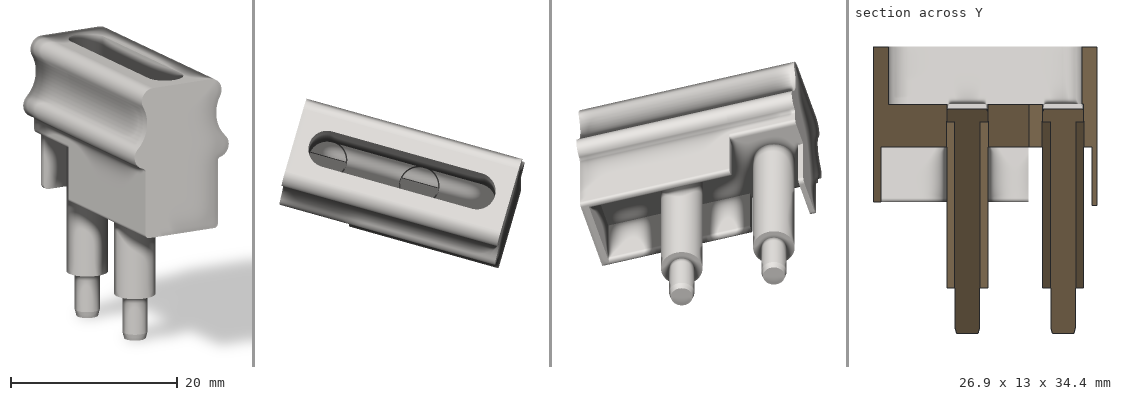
import cadquery as cq
import math


length = 26.85
split_x = 8.22
body_bottom = -12.0
body_half = 5.0
bottom_radius = 0.5

grip_radius = 1.5
top_half = 4.0
bulge_z = -8.4
waist_radius = 4.15
root_radius = 0.48
root_middle_angle = 145

skirt_bottom = -18.6
skirt_wall = 0.95
skirt_radius = 0.45

tab_bottom = -19.05
tab_thickness = 0.65
tab_back = 1.5
tab_front = -4.02
tab_radius = 0.6

slot_width = 4.47
slot_end_gap = 1.85
slot_depth = 6.88
slot_length = length - 2 * slot_end_gap

pin_x = slot_end_gap + slot_width / 2
pin_pitch = 11.5
pin_places = [pin_x, pin_x + pin_pitch]
head_diameter = 4.85
head_height = 2.05
head_taper_length = 0.8
head_taper_inset = 0.17
driver_width = 0.83
driver_depth = 0.5
rod_diameter = 3.03
tip_z = -34.4
tip_length = 0.8
tip_inset = 0.2
sleeve_diameter = 5.0
sleeve_bottom = -28.9
head_top = -slot_depth
sleeve_top = head_top - head_height


def point_between(start, end, distance):
    """Point on the line from start to end, at a distance from start."""
    share = distance / math.dist(start, end)
    return (start[0] + share * (end[0] - start[0]), start[1] + share * (end[1] - start[1]))


def point_toward(center, direction, radius):
    """Point on a circle, in the direction of an angle in degrees."""
    angle = math.radians(direction)
    return (center[0] + radius * math.cos(angle), center[1] + radius * math.sin(angle))


def grip_half():
    """Half of the housing cross-section (Y >= 0) on the YZ plane, with tangent arcs down its side."""
    corner = (top_half, -grip_radius)
    bulge = (body_half, bulge_z)

    span = math.dist(corner, bulge)
    rise = math.sqrt((waist_radius + grip_radius) ** 2 - (span / 2) ** 2)
    middle = ((corner[0] + bulge[0]) / 2, (corner[1] + bulge[1]) / 2)
    waist = (
        middle[0] + rise * (corner[1] - bulge[1]) / span,
        middle[1] + rise * (bulge[0] - corner[0]) / span,
    )
    waist_top = point_between(corner, waist, grip_radius)
    waist_bottom = point_between(bulge, waist, grip_radius)
    waist_middle = (waist[0] - waist_radius, waist[1])

    root_drop = math.sqrt((grip_radius + root_radius) ** 2 - root_radius ** 2)
    root = (body_half + root_radius, bulge_z - root_drop)
    root_top = point_between(bulge, root, grip_radius)
    root_middle = point_toward(root, root_middle_angle, root_radius)

    bottom_arc = (body_half - bottom_radius, body_bottom + bottom_radius)
    return (
        cq.Workplane("YZ")
        .moveTo(0, 0)
        .lineTo(top_half, 0)
        .threePointArc(point_toward(corner, 45, grip_radius), waist_top)
        .threePointArc(waist_middle, waist_bottom)
        .threePointArc(point_toward(bulge, 0, grip_radius), root_top)
        .threePointArc(root_middle, (body_half, root[1]))
        .lineTo(body_half, bottom_arc[1])
        .threePointArc(point_toward(bottom_arc, -45, bottom_radius), (bottom_arc[0], body_bottom))
        .lineTo(0, body_bottom)
        .close()
    )


def grip(start, end):
    """Grip section from one X to another, both halves joined."""
    half = grip_half().extrude(end - start).translate((start, 0, 0))
    return half.union(half.mirror("XZ"))


def box(x_range, y_range, z_range):
    """Box between the given limits."""
    lows, highs = zip(x_range, y_range, z_range)
    sizes = [high - low for low, high in zip(lows, highs)]
    return cq.Workplane().box(*sizes, centered=False).translate(lows)


def cylinder(x, diameter, bottom, top):
    """Upright cylinder on the middle plane."""
    return cq.Workplane(origin=(x, 0, bottom)).circle(diameter / 2).extrude(top - bottom)


def cut_openings(housing, x):
    """Cut the access slot, and the bores that hold the screw head and sleeve at x."""
    slot = cq.Workplane(origin=(length / 2, 0, -slot_depth)).slot2D(slot_length, slot_width).extrude(slot_depth)
    head_bore = cylinder(x, head_diameter, sleeve_top, head_top)
    sleeve_bore = cylinder(x, sleeve_diameter, body_bottom, sleeve_top)
    return housing.cut(slot).cut(head_bore).cut(sleeve_bore)


def make_end_housing():
    """Short housing with a thin locking tab at its outer end."""
    tab = box((0, tab_thickness), (tab_front, tab_back), (tab_bottom, body_bottom))
    tab = tab.edges("|X and <Z").fillet(tab_radius)
    return cut_openings(grip(0, split_x).union(tab), pin_places[0])


def make_main_housing():
    """Long housing with a skirt along both sides and across its outer end."""
    body = grip(split_x, length)
    side = box(
        (split_x, length),
        (body_half - skirt_wall, body_half),
        (skirt_bottom, body_bottom + bottom_radius),
    )
    side = side.edges("|X and <Z").fillet(skirt_radius)
    end_half = body_half - skirt_radius
    end = box((length - skirt_wall, length), (-end_half, end_half), (skirt_bottom, body_bottom))
    body = body.union(side).union(side.mirror("XZ")).union(end)
    return cut_openings(body, pin_places[1])


def make_sleeve(x):
    """Plain tube between the screw head and the bare end of the rod."""
    tube = cylinder(x, sleeve_diameter, sleeve_bottom, sleeve_top)
    return tube.cut(cylinder(x, rod_diameter, sleeve_bottom, sleeve_top))


def make_screw(x):
    """Slotted screw with a tapered head and a tapered tip."""
    head = cylinder(x, head_diameter, sleeve_top, head_top)
    head = head.faces(">Z").chamfer(head_taper_length, head_taper_inset)
    driver_slot = box(
        (x - head_diameter / 2, x + head_diameter / 2),
        (-driver_width / 2, driver_width / 2),
        (head_top - driver_depth, head_top),
    )
    rod = cylinder(x, rod_diameter, tip_z, sleeve_top).faces("<Z").chamfer(tip_length, tip_inset)
    return head.cut(driver_slot).union(rod)


end_housing = make_end_housing()
main_housing = make_main_housing()
sleeves = [make_sleeve(x).val() for x in pin_places]
screws = [make_screw(x).val() for x in pin_places]

result = cq.Compound.makeCompound([end_housing.val(), main_housing.val(), *sleeves, *screws])